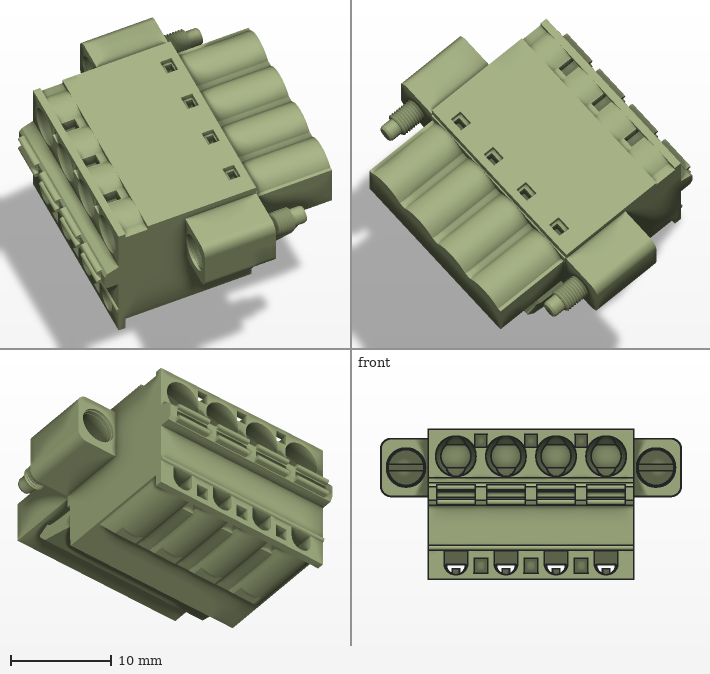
import cadquery as cq


poles = 4
pitch = 15 / 3
pole_xs = [(i - (poles - 1) / 2) * pitch for i in range(poles)]
gap_xs = [x + pitch / 2 for x in pole_xs[:-1]]

total_width = 30
housing_width = 20.55
housing_top = 15
housing_floor = 1.47
housing_back = 15.1
wall = 0.78
lower_back = 14.73
back_slope_bottom = 7.5
back_slope_top = 8.25
foot_back = 14.6
foot_top = 2.35

header_width = poles * pitch
header_start = 14.4
header_back = 23.55
header_bottom = 8.28
header_shoulder = 13.1
header_top = 14.07
header_barrel_width = 4.3

collar_width = 20.35
collar_back = 15.25
collar_bottom = 7.05

latch_outline = [
    (14.4, 4.25), (19.15, 5.4), (19.95, 6.33), (19.95, 6.55), (18.72, 7.15),
    (18.3, 6.8), (17.73, 6.7), (16.5, 6.6), (14.4, 6.55),
]

flange_front = 7.32
flange_back = 15.12
flange_bottom = header_bottom
flange_top = header_top
flange_corner = 1.05
screw_x = 12.48
screw_z = (flange_bottom + flange_top) / 2
bore_steps = [(1.95, 0.3), (1.85, 0.75)]
head_radius = 1.8
head_depth = 4.8
screw_slot_width = 0.65
screw_slot_depth = 0.6
thread_radius = 1.25
thread_root = 1.1
thread_start = 14.82
thread_end = 17.88
thread_count = 9
tip_radius = 0.9
tip_end = 19.32
tip_chamfer = 0.25

entry_z = 12.3
entry_radius = 2.0
entry_straight = 2.25
entry_depth = 3.45
entry_end_radius = 1.5
entry_end_half_height = 1.15
recess_back = 3.2
recess_floor = 14.5
recess_barrel_width = 3.65
top_slot_width = 1.2
top_slot_bottom = 13.2
slot_depth = 2.43

opening_width = 1.62
opening_front = 13.02
opening_back = 14.28
opening_depth = 0.6
contact_width = 1.17
contact_front = 13.4
contact_back = 14.15
contact_depth = 2.1
contact_rise = 0.6

ridge_depth = 1.53
ridge_shoulder = 1.23
ridge_bottom = 7.4
ridge_face_bottom = 7.9
ridge_face_top = 9.25
ridge_slope_end = 9.63
ridge_top = 10.15
bar_width = 3.87
bar_reach = 2.05
upper_bar = (8.95, 9.45)
lower_bar = (7.47, 8.0)
groove_bottom = 8.2
groove_top = 8.75
groove_depth = 1.1
groove_lip = 1.32
bead_bottom = 2.9
bead_top = 3.42
bead_reach = 0.25

chute_end = 10.25
nose_start = 9.3
nose_bottom = 0.3
step_start = 8.1
web_width = 1.5
web_bottom = 0.6
funnel_width = 2.37
funnel_top = 2.88
funnel_bottom = 0.48
funnel_straight = 7.8
funnel_end_radius = 0.93
tongue_width = 0.75
tongue_top = 1.08
window_width = 1.35
window_bottom = 0.63
window_top = 2.13


def box(x_center, width, y0, y1, z0, z1):
    """Block centred on x_center between the given Y and Z limits."""
    return cq.Workplane("XY").box(width, y1 - y0, z1 - z0).translate(
        (x_center, (y0 + y1) / 2, (z0 + z1) / 2)
    )


def side_profile(x_center, width):
    """YZ workplane placed so that extruding by width is centred on x_center."""
    return cq.Workplane("YZ", origin=(x_center - width / 2, 0, 0))


def front_plane(x, y, z):
    """Workplane facing -Y, with local X along X and local Y along Z."""
    return cq.Workplane("XZ", origin=(x, y, z))


def rod(x, z, radius, y0, y1):
    """Cylinder along Y."""
    return front_plane(x, y0, z).circle(radius).extrude(y0 - y1)


def cone(x, z, radius_start, radius_end, y0, y1):
    """Truncated cone along Y."""
    solid = cq.Solid.makeCone(
        radius_start, radius_end, y1 - y0, cq.Vector(x, y0, z), cq.Vector(0, 1, 0)
    )
    return cq.Workplane(solid)


def arched_rib(x, width, y0, y1, z_base, z_crest):
    """Circular-segment rib running along Y, with its chord at z_base and its crest at z_crest."""
    return (
        front_plane(x, y0, 0)
        .moveTo(-width / 2, z_base)
        .threePointArc((0, z_crest), (width / 2, z_base))
        .close()
        .extrude(y0 - y1)
    )


def make_housing():
    outline = [
        (0, 0), (wall, 0), (wall, housing_floor), (foot_back, housing_floor), (foot_back, foot_top),
        (lower_back, foot_top), (lower_back, back_slope_bottom), (housing_back, back_slope_top),
        (housing_back, housing_top), (0, housing_top),
    ]
    housing = side_profile(0, housing_width).polyline(outline).close().extrude(housing_width)
    collar = box(0, collar_width, header_start, collar_back, collar_bottom, header_top)
    return housing.union(collar)


def make_header():
    header = box(0, header_width, header_start, header_back, header_bottom, header_shoulder)
    for x in pole_xs:
        header = header.union(
            arched_rib(x, header_barrel_width, header_start, header_back, header_shoulder, header_top)
        )
    return header


def make_latch():
    """Hooked latch bar below the header."""
    return side_profile(0, header_width).polyline(latch_outline).close().extrude(header_width)


def make_ridge():
    """Ridge across the front wall carrying a pair of bars at every pole."""
    outline = [
        (0, ridge_top), (-ridge_shoulder, ridge_slope_end), (-ridge_depth, ridge_face_top),
        (-ridge_depth, ridge_face_bottom), (-ridge_shoulder, ridge_bottom), (0, ridge_bottom),
    ]
    ridge = side_profile(0, housing_width).polyline(outline).close().extrude(housing_width)
    for x in pole_xs:
        groove = (
            side_profile(x, bar_width)
            .moveTo(-groove_lip, groove_bottom)
            .threePointArc(
                (-groove_depth, (groove_bottom + groove_top) / 2),
                (-ridge_depth, groove_top),
            )
            .lineTo(-ridge_depth, lower_bar[1])
            .lineTo(-groove_lip, lower_bar[1])
            .close()
            .extrude(bar_width)
        )
        ridge = ridge.cut(groove)
        for bottom, top in (lower_bar, upper_bar):
            radius = (top - bottom) / 2
            bar = (
                side_profile(x, bar_width)
                .moveTo(-ridge_shoulder, bottom)
                .lineTo(radius - bar_reach, bottom)
                .threePointArc((-bar_reach, bottom + radius), (radius - bar_reach, top))
                .lineTo(-ridge_shoulder, top)
                .close()
                .extrude(bar_width)
            )
            ridge = ridge.union(bar)
    return ridge


def make_bead():
    """Rounded bead across the front wall above the lower entries."""
    return (
        side_profile(0, housing_width)
        .moveTo(0, bead_bottom)
        .threePointArc((-bead_reach, (bead_bottom + bead_top) / 2), (0, bead_top))
        .close()
        .extrude(housing_width)
    )


def make_lower_barrels():
    """Rounded barrels under the floor, cut to a sloping, stepped rear end."""
    outline = [
        (wall, 0), (step_start, 0), (step_start, nose_bottom), (nose_start, nose_bottom),
        (chute_end, housing_floor), (wall, housing_floor),
    ]
    envelope = side_profile(0, header_width).polyline(outline).close().extrude(header_width)
    webs_width = gap_xs[-1] - gap_xs[0] + web_width
    barrels = box(0, webs_width, slot_depth, chute_end, web_bottom, housing_floor)
    for x in pole_xs:
        barrels = barrels.union(arched_rib(x, pitch, wall, chute_end, housing_floor, 0))
    return barrels.intersect(envelope)


def make_flange(side):
    """Screw flange with a stepped bore that ends on the slotted screw head."""
    center = side * (total_width + housing_width) / 4
    width = (total_width - housing_width) / 2
    flange = box(center, width, flange_front, flange_back, flange_bottom, flange_top)
    flange = flange.edges("|Y").edges(">X" if side > 0 else "<X").fillet(flange_corner)
    x = side * screw_x
    head_front = flange_front + head_depth
    slot_end = head_front + screw_slot_depth
    bore = rod(x, screw_z, head_radius, flange_front, head_front)
    for radius, depth in bore_steps:
        bore = bore.union(rod(x, screw_z, radius, flange_front, flange_front + depth))
    slot = box(
        x, 2 * head_radius, head_front, slot_end,
        screw_z - screw_slot_width / 2, screw_z + screw_slot_width / 2,
    )
    return flange.cut(bore).cut(slot)


def make_screw(side):
    """Exposed screw end: ringed thread and a chamfered pilot tip."""
    thread_pitch = (thread_end - flange_back) / thread_count
    outline = [(0, thread_start), (thread_root, thread_start)]
    for i in range(thread_count):
        y = flange_back + i * thread_pitch
        outline += [(thread_root, y), (thread_radius, y + thread_pitch / 2)]
    outline += [
        (thread_root, thread_end), (tip_radius, thread_end), (tip_radius, tip_end - tip_chamfer),
        (tip_radius - tip_chamfer / 2, tip_end), (0, tip_end),
    ]
    screw = cq.Workplane("XY").polyline(outline).close().revolve(360, (0, 0, 0), (0, 1, 0))
    return screw.translate((side * screw_x, 0, screw_z))


def make_entry(x):
    """Round wire entry whose end tapers to a circle with flat top and bottom."""
    taper = cone(x, entry_z, entry_radius, entry_end_radius, entry_straight, entry_depth)
    wedge = (
        side_profile(x, 2 * entry_radius)
        .polyline([
            (entry_straight, entry_z - entry_radius), (entry_depth, entry_z - entry_end_half_height),
            (entry_depth, entry_z + entry_end_half_height), (entry_straight, entry_z + entry_radius),
        ])
        .close()
        .extrude(2 * entry_radius)
    )
    return rod(x, entry_z, entry_radius, 0, entry_straight).union(taper.intersect(wedge))


def make_opening(x):
    """Rectangular test opening with a narrower contact well that has a sloping floor."""
    pocket_floor = housing_top - opening_depth
    pocket = box(x, opening_width, opening_front, opening_back, pocket_floor, housing_top)
    well = (
        side_profile(x, contact_width)
        .polyline([
            (contact_front, pocket_floor), (contact_front, housing_top - contact_depth),
            (contact_back, housing_top - contact_depth + contact_rise), (contact_back, pocket_floor),
        ])
        .close()
        .extrude(contact_width)
    )
    return pocket.union(well)


def make_funnel(x):
    """U-shaped lower entry that narrows and opens through the slope of its barrel."""
    radius = funnel_width / 2
    center_z = funnel_bottom + radius
    upper = box(x, funnel_width, 0, funnel_straight, center_z, funnel_top)
    straight = rod(x, center_z, radius, 0, funnel_straight).union(upper)
    end_drop = radius - funnel_end_radius
    taper = (
        front_plane(x, funnel_straight, center_z)
        .circle(radius)
        .workplane(offset=funnel_straight - chute_end)
        .center(0, -end_drop)
        .circle(funnel_end_radius)
        .loft()
    )
    below_floor = box(x, funnel_width, funnel_straight, chute_end, 0, housing_floor)
    return straight.union(taper.intersect(below_floor))


body = make_housing()
for added in (make_header(), make_latch(), make_ridge(), make_bead(), make_lower_barrels()):
    body = body.union(added)
for side in (-1, 1):
    body = body.union(make_flange(side)).union(make_screw(side))

body = body.cut(box(0, housing_width, wall, recess_back, recess_floor, housing_top))
for x in pole_xs:
    body = body.union(
        arched_rib(x, recess_barrel_width, wall, recess_back, recess_floor, housing_top)
    )

for x in gap_xs:
    body = body.cut(box(x, top_slot_width, 0, slot_depth, top_slot_bottom, recess_floor))
    body = body.cut(box(x, window_width, 0, slot_depth, window_bottom, window_top))

for x in pole_xs:
    body = body.cut(make_entry(x)).cut(make_opening(x)).cut(make_funnel(x))
    tongue = box(x, tongue_width, step_start, nose_start, nose_bottom, tongue_top)
    body = body.union(tongue)

result = body